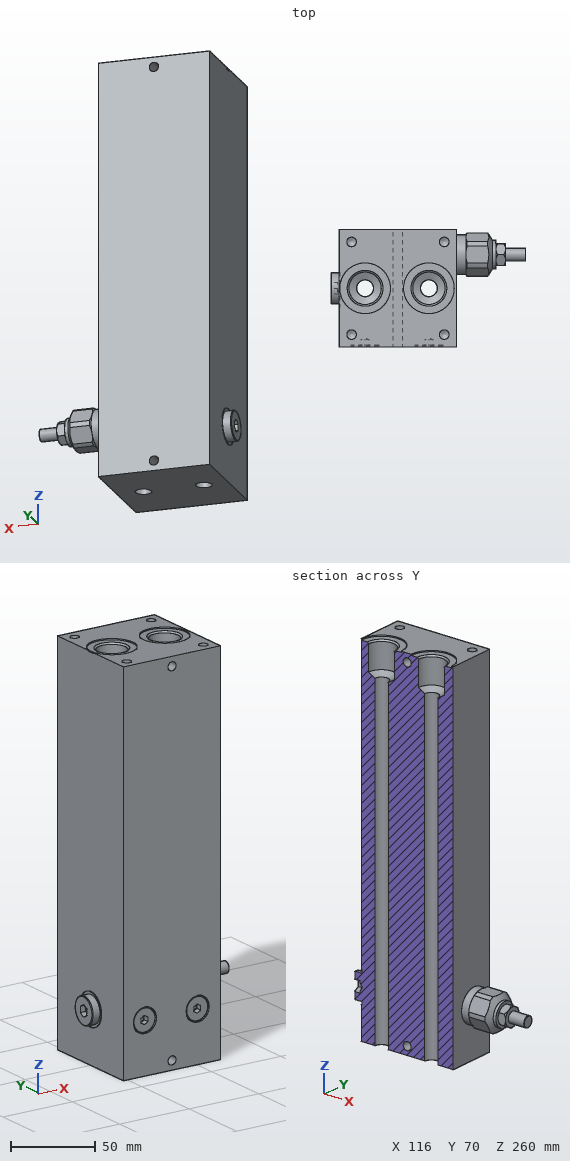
import cadquery as cq
import math

block_side = 70.0
block_height = 260.0
half_side = block_side / 2

port_xs = (-19.5, 18.5)
spotface_radius = 15.0
spotface_depth = 0.8
port_mouth_radius = 10.7
port_bore_radius = 9.5
port_depth = 20.0
drill_cone_angle = 59.0
passage_radius = 5.0

screw_offset = 27.5
screw_hole_radius = 2.9
screw_hole_depth = 15.0

mount_hole_radius = 2.9
mount_hole_inset = 6.2

valve_height = 35.0

socket_depth = 4.0
socket_drill_share = 0.8

sunk_plug_radius = 8.3
sunk_plug_chamfer = 0.8
sunk_depth = 0.5
sunk_socket_width = 5.0

raised_plug_radius = 9.4
raised_plug_length = 5.0
raised_plug_chamfer = 0.5
raised_socket_width = 6.8
ring_radius = 11.2
ring_depth = 0.5

cartridge_y = 20.0
collar_radius = 12.0
collar_end = 5.5
body_hex_width = 24.0
body_corner_radius = 13.0
body_back_chamfer = 0.8
body_shoulder = 18.5
body_end = 21.3
neck_radius = 8.5
neck_end = 23.5
nut_width = 13.0
nut_end = 29.0
nut_chamfer = 1.0
stem_radius = 4.0
stem_end = 41.0
stem_chamfer = 0.3


def hex_diameter(width_across_flats):
    """Corner-to-corner diameter of a hexagon."""
    return width_across_flats / math.cos(math.pi / 6)


def port_cutter(x):
    """Spotface, countersunk mouth, bore with a drill-point floor, and through passage."""
    mouth_z = block_height - spotface_depth
    bore_top = mouth_z - (port_mouth_radius - port_bore_radius)
    bore_floor = block_height - port_depth
    cone_drop = (port_bore_radius - passage_radius) / math.tan(math.radians(drill_cone_angle))
    profile = [
        (0, 0),
        (passage_radius, 0),
        (passage_radius, bore_floor - cone_drop),
        (port_bore_radius, bore_floor),
        (port_bore_radius, bore_top),
        (port_mouth_radius, mouth_z),
        (spotface_radius, mouth_z),
        (spotface_radius, block_height),
        (0, block_height),
    ]
    cutter = cq.Workplane("XZ").polyline(profile).close().revolve(360, (0, 0), (0, 1))
    return cutter.translate((x, 0, 0))


def screw_hole_cutter():
    """Blind hole from the top face, ending in a drill point."""
    cone_drop = screw_hole_radius / math.tan(math.radians(drill_cone_angle))
    profile = [
        (0, block_height - screw_hole_depth - cone_drop),
        (screw_hole_radius, block_height - screw_hole_depth),
        (screw_hole_radius, block_height),
        (0, block_height),
    ]
    return cq.Workplane("XZ").polyline(profile).close().revolve(360, (0, 0), (0, 1))


def socket_cutter(width):
    """Hexagon socket with a drill-point floor, sunk along +Z from Z = 0, corners on X."""
    hexagon = cq.Workplane("XY").polygon(6, hex_diameter(width)).extrude(socket_depth)
    drill_radius = socket_drill_share * width / 2
    point_z = socket_depth + drill_radius / math.tan(math.radians(drill_cone_angle))
    profile = [(0, 0), (drill_radius, 0), (drill_radius, socket_depth), (0, point_z)]
    drill = cq.Workplane("XZ").polyline(profile).close().revolve(360, (0, 0), (0, 1))
    return hexagon.union(drill)


def sunk_plug_cutter(x):
    """Shallow recess down to a chamfered plug face with a hexagon socket."""
    profile = [
        (0, 0),
        (sunk_plug_radius, 0),
        (sunk_plug_radius, sunk_depth + sunk_plug_chamfer),
        (sunk_plug_radius - sunk_plug_chamfer, sunk_depth),
        (0, sunk_depth),
    ]
    recess = cq.Workplane("XZ").polyline(profile).close().revolve(360, (0, 0), (0, 1))
    socket = socket_cutter(sunk_socket_width).rotate((0, 0, 0), (0, 0, 1), 90)
    cutter = recess.union(socket.translate((0, 0, sunk_depth)))
    return cutter.rotate((0, 0, 0), (1, 0, 0), -90).translate((x, -half_side, valve_height))


def add_raised_plug(body):
    """Round plug standing on the -X face inside a shallow ring, with a hexagon socket."""
    face = cq.Workplane("YZ", origin=(-half_side, 0, valve_height))
    ring = face.circle(ring_radius).circle(raised_plug_radius).extrude(ring_depth)
    plug = face.circle(raised_plug_radius).extrude(-raised_plug_length)
    plug = plug.faces("<X").chamfer(raised_plug_chamfer)
    socket = socket_cutter(raised_socket_width).rotate((0, 0, 0), (0, 1, 0), 90)
    socket = socket.translate((-half_side - raised_plug_length, 0, valve_height))
    return body.cut(ring).union(plug).cut(socket)


def turned(profile):
    """Solid of revolution about X from (x, radius) points, closed along the axis."""
    return cq.Workplane("XY").polyline(profile).close().revolve(360, (0, 0), (1, 0))


def hex_bar(width, start, end, corner_turn):
    """Hexagon bar along X; a turn of 0 puts corners on Y, 90 puts corners on Z."""
    bar = cq.Workplane("YZ", origin=(start, 0, 0)).polygon(6, hex_diameter(width)).extrude(end - start)
    return bar.rotate((0, 0, 0), (1, 0, 0), corner_turn)


def cartridge():
    """Collar, hexagon body, neck, lock nut and adjusting stem, built from X = 0."""
    collar = cq.Workplane("YZ").circle(collar_radius).extrude(collar_end)

    body_envelope = turned([
        (collar_end, 0),
        (collar_end, collar_radius),
        (collar_end + body_back_chamfer, body_corner_radius),
        (body_shoulder, body_corner_radius),
        (body_end, neck_radius),
        (body_end, 0),
    ])
    body = hex_bar(body_hex_width, collar_end, body_end, 0).intersect(body_envelope)

    neck = cq.Workplane("YZ", origin=(body_end, 0, 0)).circle(neck_radius).extrude(neck_end - body_end)

    nut_corner_radius = hex_diameter(nut_width) / 2
    nut_envelope = turned([
        (neck_end, 0),
        (neck_end, nut_width / 2),
        (neck_end + nut_chamfer, nut_corner_radius),
        (nut_end - nut_chamfer, nut_corner_radius),
        (nut_end, nut_width / 2),
        (nut_end, 0),
    ])
    nut = hex_bar(nut_width, neck_end, nut_end, 90).intersect(nut_envelope)

    stem = cq.Workplane("YZ", origin=(nut_end, 0, 0)).circle(stem_radius).extrude(stem_end - nut_end)
    stem = stem.faces(">X").chamfer(stem_chamfer)
    return collar.union(body).union(neck).union(nut).union(stem)


result = cq.Workplane("XY").box(block_side, block_side, block_height, centered=(True, True, False))

for port_x in port_xs:
    result = result.cut(port_cutter(port_x))
    result = result.cut(sunk_plug_cutter(port_x))

for screw_x in (-screw_offset, screw_offset):
    for screw_y in (-screw_offset, screw_offset):
        result = result.cut(screw_hole_cutter().translate((screw_x, screw_y, 0)))

for mount_z in (mount_hole_inset, block_height - mount_hole_inset):
    mount_hole = cq.Workplane("XZ", origin=(0, 0, mount_z)).circle(mount_hole_radius)
    result = result.cut(mount_hole.extrude(block_side, both=True))

result = add_raised_plug(result)
result = result.union(cartridge().translate((half_side, cartridge_y, valve_height)))